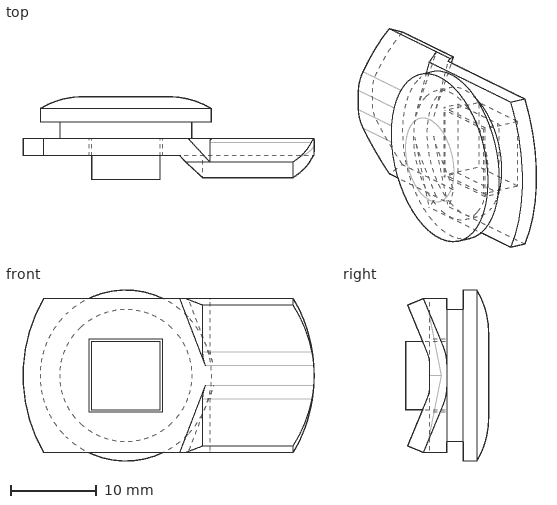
import cadquery as cq
import math


plate_length = 34.0
plate_width = 18.0
plate_thickness = 2.0
plate_left = -12.0
end_radius = 18.0
hole_side = 8.55

wing_angle = math.radians(22.5)
bend_start = 1.2
bend_radius = 4.0
ramp_start = 6.3

knob_radius = 10.0
neck_radius = 7.72
neck_top = 3.9
rim_top = 5.5
knob_top = 6.9
crown_flat_radius = 5.0
stud_side = 8.0
stud_length = 2.8

half_width = plate_width / 2
plate_right = plate_left + plate_length
cutter_size = 3 * plate_length


def bend_point(radius, angle):
    """(Y, Z) on an arc about the bend centre, at an angle from the flat strip."""
    return (-bend_radius + radius * math.cos(angle), bend_start + radius * math.sin(angle))


outer_bend_radius = bend_radius + plate_thickness
front_bend_mid = bend_point(bend_radius, wing_angle / 2)
front_bend_end = bend_point(bend_radius, wing_angle)
back_bend_mid = bend_point(outer_bend_radius, wing_angle / 2)
back_bend_end = bend_point(outer_bend_radius, wing_angle)

wing_back_y = back_bend_end[0] - (half_width - back_bend_end[1]) * math.tan(wing_angle)
wing_back_corner = (wing_back_y, half_width)
wing_front_corner = (
    wing_back_y - plate_thickness * math.cos(wing_angle),
    half_width - plate_thickness * math.sin(wing_angle),
)


def extrude_section(section):
    """Extrude a YZ section along the whole plate."""
    return section.close().extrude(plate_length)


def beyond_ramp(offset):
    """Space on the wing side of the ramp, which is at 45 degrees to the wing and to X."""
    normal = cq.Vector(1, math.cos(wing_angle), math.sin(wing_angle)).normalized()
    origin = cq.Vector(ramp_start, 0, half_width) + normal * offset
    along_ramp = cq.Vector(0, -math.sin(wing_angle), math.cos(wing_angle))
    ramp_plane = cq.Plane(origin=origin, xDir=along_ramp, normal=normal)
    return cq.Workplane(ramp_plane).rect(cutter_size, cutter_size).extrude(cutter_size)


def make_wing_front():
    """Material of the upper wing and its ramp, filled up to the back of the plate."""
    section = (
        cq.Workplane("YZ", origin=(plate_left, 0, 0))
        .moveTo(plate_thickness, bend_start)
        .lineTo(0, bend_start)
        .threePointArc(front_bend_mid, front_bend_end)
        .lineTo(*wing_front_corner)
        .lineTo(*wing_back_corner)
        .lineTo(plate_thickness, half_width)
    )
    return extrude_section(section).intersect(beyond_ramp(0))


def make_wing_hollow():
    """Space behind the upper wing."""
    section = (
        cq.Workplane("YZ", origin=(plate_left, 0, 0))
        .moveTo(plate_thickness, bend_start)
        .threePointArc(back_bend_mid, back_bend_end)
        .lineTo(*wing_back_corner)
        .lineTo(plate_thickness, half_width)
    )
    return extrude_section(section).intersect(beyond_ramp(plate_thickness))


def make_end_outline():
    """Block with the rounded ends of the plate, deep enough to trim the wings."""
    end_bulge = end_radius - math.sqrt(end_radius**2 - half_width**2)
    return (
        cq.Workplane("XZ", origin=(0, -plate_length / 2, 0))
        .moveTo(plate_left + end_bulge, -half_width)
        .lineTo(plate_right - end_bulge, -half_width)
        .threePointArc((plate_right, 0), (plate_right - end_bulge, half_width))
        .lineTo(plate_left + end_bulge, half_width)
        .threePointArc((plate_left, 0), (plate_left + end_bulge, -half_width))
        .close()
        .extrude(-plate_length)
    )


def make_wing_end_cutter():
    """Space past the end of the upper wing, square to the wing.

    The wing end carries the same arc as the plate end, unrolled along the middle of the bend.
    """
    unrolled_bend = bend_start + (bend_radius + plate_thickness / 2) * wing_angle
    wing_plane = cq.Plane(
        origin=(plate_right - end_radius, -bend_radius, bend_start),
        xDir=(1, 0, 0),
        normal=(0, math.cos(wing_angle), math.sin(wing_angle)),
    )
    arc_end = end_radius * math.cos(math.pi / 4)
    arc_mid_x = end_radius * math.cos(math.pi / 8)
    arc_mid_y = end_radius * math.sin(math.pi / 8)
    return (
        cq.Workplane(wing_plane)
        .center(0, unrolled_bend)
        .moveTo(end_radius, 0)
        .threePointArc((arc_mid_x, -arc_mid_y), (arc_end, -arc_end))
        .lineTo(end_radius, -arc_end)
        .close()
        .extrude(2 * outer_bend_radius)
    )


def make_cam_plate():
    plate = cq.Workplane("XY", origin=(plate_left, 0, 0)).box(
        plate_length, plate_thickness, plate_width, centered=(False, False, True)
    )
    front = make_wing_front()
    hollow = make_wing_hollow()
    plate = plate.union(front).union(front.mirror("XY"))
    plate = plate.cut(hollow).cut(hollow.mirror("XY"))
    end_cutter = make_wing_end_cutter()
    plate = plate.cut(end_cutter).cut(end_cutter.mirror("XY"))
    square_hole = cq.Workplane("XZ").rect(hole_side, hole_side).extrude(-plate_thickness)
    return plate.intersect(make_end_outline()).cut(square_hole)


def make_knob():
    """Crowned head and neck, with a square stud through the plate."""
    crown_run = knob_radius - crown_flat_radius
    crown_drop = knob_top - rim_top
    crown_radius = (crown_run**2 + crown_drop**2) / (2 * crown_drop)
    half_sweep = math.asin(crown_run / crown_radius) / 2
    crown_mid = (
        crown_flat_radius + crown_radius * math.sin(half_sweep),
        knob_top - crown_radius * (1 - math.cos(half_sweep)),
    )
    head = (
        cq.Workplane("XY")
        .moveTo(0, plate_thickness)
        .lineTo(neck_radius, plate_thickness)
        .lineTo(neck_radius, neck_top)
        .lineTo(knob_radius, neck_top)
        .lineTo(knob_radius, rim_top)
        .threePointArc(crown_mid, (crown_flat_radius, knob_top))
        .lineTo(0, knob_top)
        .close()
        .revolve(360, (0, 0, 0), (0, 1, 0))
    )
    stud = (
        cq.Workplane("XZ", origin=(0, -stud_length, 0))
        .rect(stud_side, stud_side)
        .extrude(-(stud_length + plate_thickness))
    )
    return head.union(stud)


cam_plate = make_cam_plate()
knob = make_knob()
result = cq.Compound.makeCompound([cam_plate.solids().val(), knob.solids().val()])